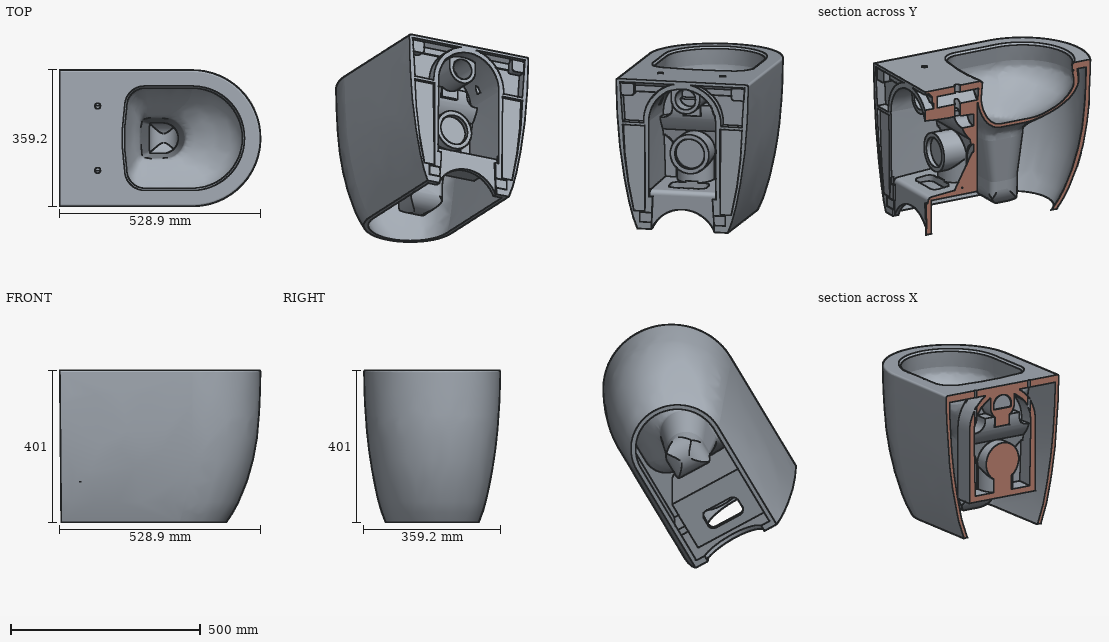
import cadquery as cq
import math

LENGTH = 529.0
WIDTH = 359.0
HEIGHT = 401.0
BACK_LEAN = 3.5
SKIN = 12.0
RIM_ROUND = 6.0

SKIRT = [
    (0.0, 122.5, 438.5),
    (21.0, 131.0, 453.0),
    (53.0, 140.5, 470.0),
    (116.5, 154.5, 495.5),
    (201.0, 167.5, 516.0),
    (285.5, 175.5, 525.0),
    (370.0, 179.5, 528.5),
    (HEIGHT, WIDTH / 2, LENGTH),
]

RIM = (HEIGHT - RIM_ROUND, 170.5, 481.0, 131.5, 47.5, 6.5)
BOWL = [
    (352.0, 167.0, 485.5, 136.5, 47.5, 6.5),
    (322.5, 171.5, 478.0, 130.0, 47.5, 6.5),
    (293.5, 183.0, 452.0, 109.0, 39.5, 5.5),
    (267.0, 197.0, 404.5, 82.5, 29.0, 4.0),
    (246.0, 209.0, 352.0, 60.5, 18.5, 2.5),
    (217.0, 214.0, 328.0, 52.0, 13.0, 1.5),
]
SUMP = (95.0, 235.5, 312.0, 40.0, 5.5, 1.0)
SUMP_AXIS_Z = 71.0

ARCH_HALF = 91.0
ARCH_Z = 290.0
ARCH_WALL = 14.5
FLOOR_Z = 102.5
FLOOR_THICKNESS = 9.5
SERVICE_DEPTH = 148.0
SERVICE_END_HALF = 83.0
SERVICE_END_ARCH = 89.0
SERVICE_END_FLOOR = 114.0
SERVICE_END_X = SERVICE_DEPTH + SKIN

LOWER_POCKET_DEPTH = 10.5
LOWER_POCKET_RUNOUT = 4.0
UPPER_POCKET_DEPTH = 26.5
POCKET_INNER = 102.0
RIB_BOTTOM_Z = 277.5
RIB_TOP_Z = 285.5
LOWER_POCKET_Z = 48.0
UPPER_POCKET_Z = 392.5

OUTLET_X = 79.5
OUTLET_Z = 191.0
OUTLET_RADIUS = 52.5
OUTLET_BORE = 40.0
OUTLET_BORE_DEPTH = 13.0
INLET_X = 34.5
INLET_Z = 346.5
INLET_RADIUS = 38.5
INLET_BORE = 27.5
INLET_BORE_DEPTH = 74.0
INLET_STEP_Z = 338.0
INLET_STEP_DEPTH = 47.5

BOLT_DIAMETER = 15.0
BOLT_X = 100.0
BOLT_Y = 84.5
BOLT_DEPTH = 84.5

RECESS_X = 9.0
RECESS_TOP_Z = 88.0
RECESS_TOP_HALF = 81.5
RECESS_FOOT_HALF = 85.5
WEB_FRONT_X = RECESS_X + SKIN
FOOT_ARCH_RISE = 55.5
FLOOR_LIP_ROUND = 12.5
WINDOW_BACK, WINDOW_FRONT = 46.5, 100.5
WINDOW_HALF = 52.0
WINDOW_CORNER = 16.0


def box(x0, x1, y0, y1, z0, z1):
    return cq.Workplane("XY").box(x1 - x0, y1 - y0, z1 - z0, centered=False).translate((x0, y0, z0))


def mirrored(solid):
    return solid.union(solid.mirror("XZ"))


def skirt_outline(back, front, half, z):
    """D outline: flat back, straight sides, semicircular front."""
    wp = cq.Workplane("XY", origin=(0, 0, z)).moveTo(back, half).lineTo(back, -half)
    wp = wp.lineTo(front - half, -half).threePointArc((front, 0), (front - half, half))
    return wp.close().val()


def skirt(wall):
    wires = []
    for z, half, front in SKIRT:
        back = BACK_LEAN * (1 - z / HEIGHT)
        wires.append(skirt_outline(back + wall, front - wall, half - wall, z))
    return cq.Workplane(cq.Solid.makeLoft(wires))


def bowl_outline(station, wall=0.0):
    """D outline with a bowed back and rounded back corners, grown outward by wall."""
    z, back, front, half, corner, bow = station
    back, front, half, corner = back - wall, front + wall, half + wall, corner + wall
    side = back + bow
    diag = corner * (1 - math.sqrt(0.5))
    wp = cq.Workplane("XY", origin=(0, 0, z)).moveTo(side, half - corner)
    wp = wp.threePointArc((back, 0), (side, corner - half))
    wp = wp.threePointArc((side + diag, diag - half), (side + corner, -half))
    wp = wp.lineTo(front - half, -half).threePointArc((front, 0), (front - half, half))
    wp = wp.lineTo(side + corner, half)
    return wp.threePointArc((side + diag, half - diag), (side, half - corner)).close().val()


def trough(plane, centre, half):
    """Long U-shaped bar with a half-round bottom."""
    top_z = SUMP[0]
    outline = (
        cq.Workplane(plane)
        .moveTo(centre - half, top_z).lineTo(centre - half, SUMP_AXIS_Z)
        .threePointArc((centre, SUMP_AXIS_Z - half), (centre + half, SUMP_AXIS_Z))
        .lineTo(centre + half, top_z).close()
    )
    return outline.extrude(LENGTH, both=True)


def sump(wall):
    """Bottom of the trap, rounded both lengthwise and crosswise."""
    z, back, front, half = SUMP[:4]
    plan = cq.Solid.extrudeLinear(bowl_outline(SUMP, wall), [], cq.Vector(0, 0, -z))
    across = trough("YZ", 0, half + wall)
    along = trough("XZ", (back + front) / 2, (front - back) / 2 + wall)
    return cq.Workplane(plan).intersect(across).intersect(along)


def bowl(wall):
    """Undercut rim, dish, tapering throat and sump, grown outward by wall."""
    dish = cq.Solid.makeLoft([bowl_outline(station, wall) for station in BOWL])
    rim = cq.Solid.makeLoft([bowl_outline(RIM, wall), bowl_outline(BOWL[0], wall)], True)
    throat = cq.Solid.makeLoft([bowl_outline(BOWL[-1], wall), bowl_outline(SUMP, wall)], True)
    return cq.Workplane(dish).union(cq.Workplane(rim)).union(cq.Workplane(throat)).union(sump(wall))


def rim_opening():
    """Bevelled lip between the flat top and the bowl."""
    top = (HEIGHT,) + RIM[1:]
    return cq.Workplane(cq.Solid.makeLoft([bowl_outline(RIM), bowl_outline(top, RIM_ROUND)], True))


def arch_outline(x, foot_half, half, base_z):
    return (
        cq.Workplane("YZ", origin=(x, 0, 0))
        .moveTo(-foot_half, base_z).lineTo(foot_half, base_z).lineTo(half, ARCH_Z)
        .threePointArc((0, ARCH_Z + half), (-half, ARCH_Z)).close()
    )


def outer_arch(base_z, depth):
    half = ARCH_HALF + ARCH_WALL
    return arch_outline(0, half, half, base_z).extrude(depth)


def service_opening():
    """Arched room in the back that narrows towards its end wall."""
    back = arch_outline(0, ARCH_HALF, ARCH_HALF, FLOOR_Z).val()
    end = arch_outline(SERVICE_DEPTH, SERVICE_END_HALF, SERVICE_END_ARCH, SERVICE_END_FLOOR).val()
    return cq.Workplane(cq.Solid.makeLoft([back, end], True))


def hollow():
    """Space inside the skirt, open at the foot, around the bowl and the service box."""
    top_z = UPPER_POCKET_Z - SKIN
    back_x = UPPER_POCKET_DEPTH + SKIN
    step_z = RIB_BOTTOM_Z - SKIN
    room = box(WEB_FRONT_X, LENGTH, -LENGTH, LENGTH, 0, step_z)
    room = room.union(box(back_x, LENGTH, -LENGTH, LENGTH, step_z, top_z))
    room = room.intersect(skirt(SKIN))
    service_box = outer_arch(FLOOR_Z - FLOOR_THICKNESS, SERVICE_END_X)
    return room.cut(service_box).cut(bowl(SKIN))


def bowl_back():
    """Outside of the bowl and trap that shows on the end wall of the service opening."""
    top_z, shoulder_z, waist_z = 317.5, 280.0, 227.5
    upper_arc_z, lower_arc_z = 309.0, 182.5
    neck = 54.0
    shoulder = SERVICE_END_HALF
    wide = ARCH_HALF
    crest_x, foot_x, foot_z = 108.5, 147.0, 190.5
    tab_x, tab_half, tab_z = 103.0, 23.5, 289.0
    trap_radius = 50.0
    silhouette = (
        cq.Workplane("YZ")
        .moveTo(-neck, top_z).lineTo(neck, top_z).lineTo(neck, upper_arc_z)
        .threePointArc((62.5, 288.5), (shoulder, shoulder_z)).lineTo(wide, shoulder_z)
        .lineTo(wide, waist_z).lineTo(shoulder, waist_z)
        .threePointArc((63.5, 209.0), (neck, lower_arc_z)).lineTo(neck, FLOOR_Z)
        .lineTo(-neck, FLOOR_Z).lineTo(-neck, lower_arc_z)
        .threePointArc((-63.5, 209.0), (-shoulder, waist_z)).lineTo(-wide, waist_z)
        .lineTo(-wide, shoulder_z).lineTo(-shoulder, shoulder_z)
        .threePointArc((-62.5, 288.5), (-neck, upper_arc_z)).close()
        .extrude(SERVICE_END_X)
    )
    profile = (
        cq.Workplane("XZ")
        .moveTo(SERVICE_END_X, top_z).lineTo(crest_x, top_z)
        .threePointArc((115.5, 275.0), (137.5, 243.5)).lineTo(foot_x, foot_z)
        .lineTo(foot_x, FLOOR_Z).lineTo(SERVICE_END_X, FLOOR_Z).close()
        .extrude(ARCH_HALF, both=True)
    )
    tab = box(tab_x, SERVICE_DEPTH, -tab_half, tab_half, tab_z, INLET_Z)
    trap = (
        cq.Workplane("XY", origin=(SERVICE_DEPTH, 0, FLOOR_Z))
        .circle(trap_radius).extrude(OUTLET_Z - FLOOR_Z)
    )
    trap = trap.intersect(box(0, SERVICE_END_X, -ARCH_HALF, ARCH_HALF, 0, HEIGHT))
    return silhouette.intersect(profile).union(tab).union(trap)


def spigot(x, z, radius):
    return cq.Workplane("YZ", origin=(x, 0, z)).circle(radius).extrude(SERVICE_END_X - x)


def bore(x, z, radius, depth):
    return cq.Workplane("YZ", origin=(x, 0, z)).circle(radius).extrude(depth)


def inlet_bore():
    deep = bore(INLET_X, INLET_Z, INLET_BORE, INLET_BORE_DEPTH)
    step = box(INLET_X + INLET_STEP_DEPTH, LENGTH, -INLET_BORE, INLET_BORE, 0, INLET_STEP_Z)
    return deep.cut(step)


def service_fittings():
    inlet_neck = box(INLET_X, SERVICE_END_X, -INLET_RADIUS, INLET_RADIUS, INLET_Z, UPPER_POCKET_Z)
    parts = bowl_back().union(spigot(OUTLET_X, OUTLET_Z, OUTLET_RADIUS))
    return parts.union(spigot(INLET_X, INLET_Z, INLET_RADIUS)).union(inlet_neck)


def lower_pockets():
    top_outer, foot_outer = 162.5, 132.0
    middle_outer, middle_z = 153.0, 158.5
    pocket = (
        cq.Workplane("YZ")
        .moveTo(POCKET_INNER, LOWER_POCKET_Z).lineTo(foot_outer, LOWER_POCKET_Z)
        .threePointArc((middle_outer, middle_z), (top_outer, RIB_BOTTOM_Z))
        .lineTo(POCKET_INNER, RIB_BOTTOM_Z).close().extrude(LOWER_POCKET_DEPTH)
    )
    runout = (
        cq.Workplane("XZ")
        .polyline([(0, LOWER_POCKET_Z), (LOWER_POCKET_RUNOUT, LOWER_POCKET_Z),
                   (LOWER_POCKET_DEPTH, RIB_BOTTOM_Z), (0, RIB_BOTTOM_Z)])
        .close().extrude(-LENGTH)
    )
    return mirrored(pocket.intersect(runout))


def upper_pockets():
    foot_outer, top_outer = 162.0, 169.0
    block_inner, block_face, block_round = 133.0, 4.0, 8.0
    block_bottom, block_top = 356.5, 389.0
    band_bottom, band_top, band_face, ceiling_face = 364.5, 381.5, 22.0, 12.0
    pocket = (
        cq.Workplane("YZ")
        .polyline([(0, RIB_TOP_Z), (foot_outer, RIB_TOP_Z),
                   (top_outer, UPPER_POCKET_Z), (0, UPPER_POCKET_Z)])
        .close().extrude(UPPER_POCKET_DEPTH)
    )
    block = box(block_face, UPPER_POCKET_DEPTH, block_inner, LENGTH, block_bottom, block_top)
    block = block.edges("|X and <Y and <Z").fillet(block_round)
    band = (
        cq.Workplane("XZ")
        .polyline([(UPPER_POCKET_DEPTH, band_bottom), (band_face, band_bottom), (band_face, band_top),
                   (ceiling_face, UPPER_POCKET_Z), (UPPER_POCKET_DEPTH, UPPER_POCKET_Z)])
        .close().extrude(-block_inner)
    )
    pocket = pocket.cut(block).cut(band)
    return mirrored(pocket.cut(outer_arch(0, UPPER_POCKET_DEPTH)))


def foot_recess():
    below = (
        cq.Workplane("YZ")
        .polyline([(-RECESS_FOOT_HALF, 0), (RECESS_FOOT_HALF, 0),
                   (RECESS_TOP_HALF, RECESS_TOP_Z), (-RECESS_TOP_HALF, RECESS_TOP_Z)])
        .close().extrude(RECESS_X)
    )
    return below.union(box(0, RECESS_X, -ARCH_HALF, ARCH_HALF, RECESS_TOP_Z, FLOOR_Z + 5.5))


def foot_arch():
    return (
        cq.Workplane("YZ").moveTo(-RECESS_FOOT_HALF, 0)
        .threePointArc((0, FOOT_ARCH_RISE), (RECESS_FOOT_HALF, 0)).close().extrude(WEB_FRONT_X)
    )


def foot_pads():
    """Shallow rectangular recesses on the two feet."""
    pad_depth, pad_outer = 5.5, 116.5
    pad_bottom, pad_top = 18.5, 44.5
    return mirrored(box(0, pad_depth, RECESS_TOP_HALF, pad_outer, pad_bottom, pad_top))


def floor_window():
    window = box(WINDOW_BACK, WINDOW_FRONT, -WINDOW_HALF, WINDOW_HALF, RECESS_TOP_Z, FLOOR_Z + SKIN)
    return window.edges("|Z").fillet(WINDOW_CORNER)


def bolt_holes():
    top = cq.Workplane("XY", origin=(BOLT_X, 0, HEIGHT))
    return top.pushPoints([(0, BOLT_Y), (0, -BOLT_Y)]).circle(BOLT_DIAMETER / 2).extrude(-BOLT_DEPTH)


body = skirt(0)
body = body.faces(">Z").edges("not <X").fillet(RIM_ROUND)
body = body.cut(hollow())

service_space = service_opening().cut(service_fittings())
body = body.cut(service_space)
body = body.cut(bore(OUTLET_X, OUTLET_Z, OUTLET_BORE, OUTLET_BORE_DEPTH)).cut(inlet_bore())
body = body.cut(bowl(0)).cut(rim_opening())

body = body.cut(lower_pockets()).cut(upper_pockets())
body = body.cut(foot_recess()).cut(foot_arch()).cut(foot_pads())
lip_edge = cq.selectors.NearestToPointSelector((RECESS_X, 0, FLOOR_Z))
body = body.edges(lip_edge).fillet(FLOOR_LIP_ROUND)
body = body.cut(floor_window()).cut(bolt_holes())

result = body